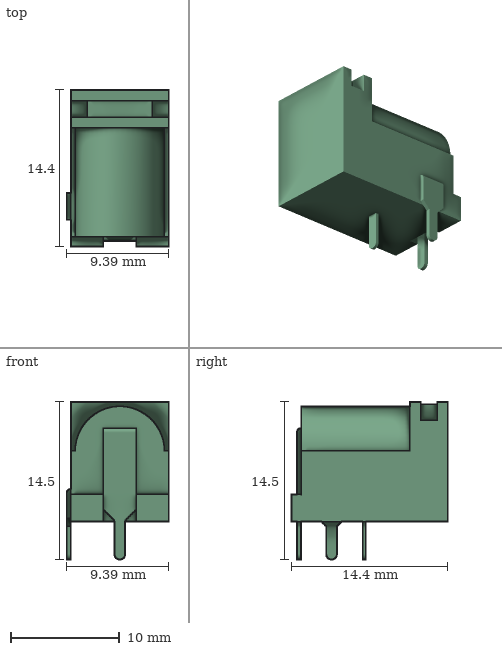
import cadquery as cq


housing_width = 9.0
housing_height = 11.0
barrel_length = 10.0
shoulder_height = 6.5
dome_radius = 4.1

flange_length = 3.5
flange_wall = 1.0
slot_depth = 1.7
slot_length = flange_length - 2 * flange_wall
block_width = 6.0
block_drop = 0.2

foot_length = 0.9
foot_height = 2.5
foot_gap = 3.0
foot_width = (housing_width - foot_gap) / 2

terminal_thickness = 0.39
tail_width = 1.0
tail_drop = 3.5
end_blade_width = foot_gap
end_blade_top = 8.6
end_taper_top = 1.1
side_blade_width = 2.5
side_blade_top = 3.0
side_taper_top = 0.3
side_terminal_y = 2.8
inner_tail_thickness = 0.3
inner_tail_y = 5.65


def make_box(width, length, height, x, y, z):
    """Box centred on x, starting at y and z."""
    return cq.Workplane("XY", origin=(x, y + length / 2, z)).box(
        width, length, height, centered=(True, True, False)
    )


def make_housing():
    flange = make_box(housing_width, flange_length, housing_height, 0, barrel_length, 0)
    slot_y = barrel_length + flange_wall
    slot_floor = housing_height - slot_depth
    slot = make_box(housing_width, slot_length, slot_depth, 0, slot_y, slot_floor)
    block = make_box(block_width, slot_length, slot_depth - block_drop, 0, slot_y, slot_floor)
    flange = flange.cut(slot).union(block)

    half_width = housing_width / 2
    barrel = (
        cq.Workplane("XZ")
        .moveTo(-half_width, 0)
        .lineTo(half_width, 0)
        .lineTo(half_width, shoulder_height)
        .lineTo(dome_radius, shoulder_height)
        .threePointArc((0, shoulder_height + dome_radius), (-dome_radius, shoulder_height))
        .lineTo(-half_width, shoulder_height)
        .close()
        .extrude(-barrel_length)
    )
    body = flange.union(barrel)
    for side in (-1, 1):
        foot_x = side * (foot_gap + foot_width) / 2
        body = body.union(make_box(foot_width, foot_length, foot_height, foot_x, -foot_length, 0))
    return body


def make_tail(top, thickness):
    """Narrow strip with a round tip, its back face on Y = 0 and its front toward -Y."""
    radius = tail_width / 2
    return (
        cq.Workplane("XZ")
        .moveTo(-radius, top)
        .lineTo(-radius, radius - tail_drop)
        .threePointArc((0, -tail_drop), (radius, radius - tail_drop))
        .lineTo(radius, top)
        .close()
        .extrude(thickness)
    )


def make_bladed_terminal(blade_width, blade_top, taper_top):
    """Wide blade with a rounded top edge, narrowing at 45 degrees to the tail."""
    half_blade = blade_width / 2
    half_tail = tail_width / 2
    taper_bottom = taper_top - (half_blade - half_tail)
    blade = (
        cq.Workplane("XZ")
        .polyline([
            (-half_blade, blade_top),
            (-half_blade, taper_top),
            (-half_tail, taper_bottom),
            (half_tail, taper_bottom),
            (half_blade, taper_top),
            (half_blade, blade_top),
        ])
        .close()
        .extrude(terminal_thickness)
    )
    rounding_base = blade_top - terminal_thickness
    rounded_strip = (
        cq.Workplane("YZ", origin=(-half_blade, 0, 0))
        .moveTo(0, -tail_drop)
        .lineTo(0, blade_top)
        .radiusArc((-terminal_thickness, rounding_base), -terminal_thickness)
        .lineTo(-terminal_thickness, -tail_drop)
        .close()
        .extrude(blade_width)
    )
    return blade.intersect(rounded_strip).union(make_tail(taper_bottom, terminal_thickness))


housing = make_housing()

end_terminal = make_bladed_terminal(end_blade_width, end_blade_top, end_taper_top)

side_terminal = (
    make_bladed_terminal(side_blade_width, side_blade_top, side_taper_top)
    .rotate((0, 0, 0), (0, 0, 1), -90)
    .translate((-housing_width / 2, side_terminal_y, 0))
)

inner_terminal = make_tail(0, inner_tail_thickness).translate((0, inner_tail_y + inner_tail_thickness, 0))

result = cq.Compound.makeCompound([
    housing.val(),
    end_terminal.val(),
    side_terminal.val(),
    inner_terminal.val(),
])